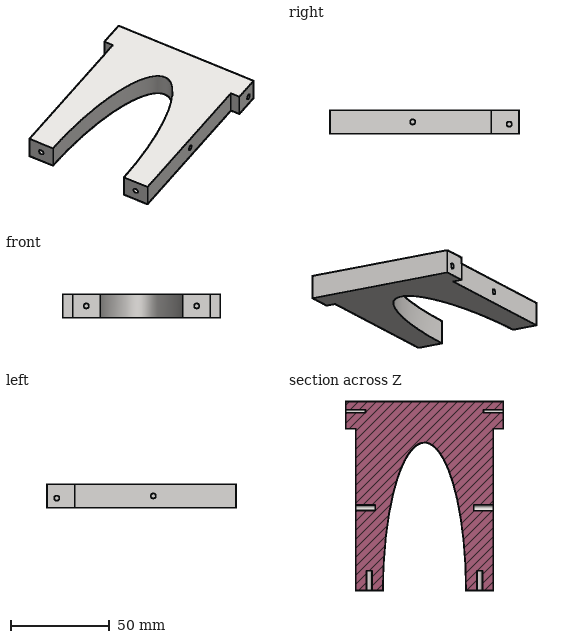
import cadquery as cq

HEAD_WIDTH = 80.0
LENGTH = 96.0
THICKNESS = 12.0

HEAD_DEPTH = 14.0
BODY_WIDTH = 70.0

ARCH_WIDTH = 42.0
ARCH_HEIGHT = 75.0

HOLE_DIAMETER = 2.62
HOLE_DEPTH = 10.0
MID_HEIGHT = THICKNESS / 2
LEG_CENTRE_X = (BODY_WIDTH + ARCH_WIDTH) / 4
SIDE_HOLE_Y = 42.0
HEAD_HOLE_FROM_BACK = 5.0
HEAD_HOLE_Z = 4.9

FORWARD = cq.Vector(0, 1, 0)


def make_plate():
    """T-shaped plate: the body with the wider head along its back edge."""
    body = cq.Workplane("XY").box(BODY_WIDTH, LENGTH, THICKNESS, centered=(True, False, False))
    head = (
        cq.Workplane("XY")
        .box(HEAD_WIDTH, HEAD_DEPTH, THICKNESS, centered=(True, False, False))
        .translate((0, LENGTH - HEAD_DEPTH, 0))
    )
    return body.union(head)


def make_arch():
    """Full elliptical cylinder; its back half opens the arch in the plate."""
    return cq.Workplane("XY").ellipse(ARCH_WIDTH / 2, ARCH_HEIGHT).extrude(THICKNESS)


def make_hole(mouth, direction):
    """Blind hole starting at the mouth point and running along the direction."""
    return cq.Solid.makeCylinder(HOLE_DIAMETER / 2, HOLE_DEPTH, cq.Vector(*mouth), direction)


result = make_plate().cut(make_arch())

for side in (-1, 1):
    inward = cq.Vector(-side, 0, 0)
    leg_mouth = (side * LEG_CENTRE_X, 0, MID_HEIGHT)
    side_mouth = (side * BODY_WIDTH / 2, SIDE_HOLE_Y, MID_HEIGHT)
    head_mouth = (side * HEAD_WIDTH / 2, LENGTH - HEAD_HOLE_FROM_BACK, HEAD_HOLE_Z)
    result = result.cut(make_hole(leg_mouth, FORWARD))
    result = result.cut(make_hole(side_mouth, inward))
    result = result.cut(make_hole(head_mouth, inward))